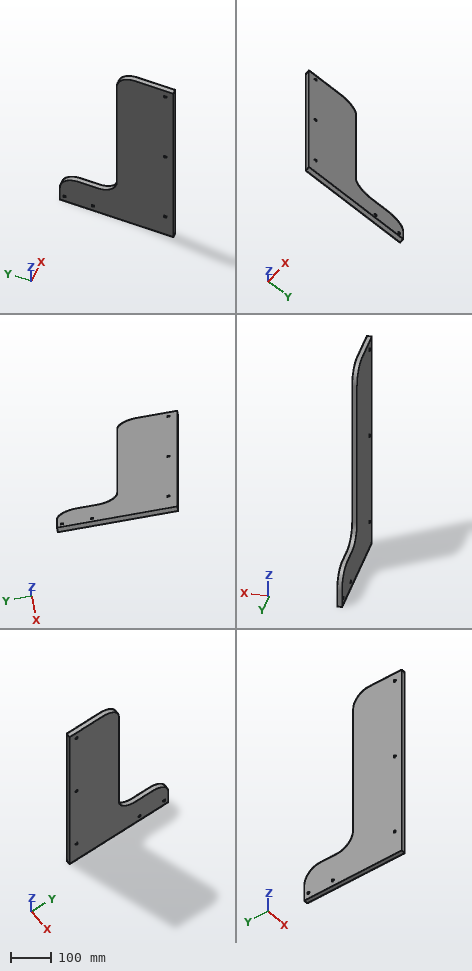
import cadquery as cq

thickness = 13.0
depth = 305.0
height = 609.5
upright_depth = depth / 2
foot_height = height / 6
corner_radius = foot_height / 2

hole_diameter = 7.0
back_hole_y = 22.0
back_hole_top_z = 584.0
back_hole_spacing = 254.0
back_hole_count = 3
foot_hole_z = 19.5
foot_hole_front_y = 292.0
foot_hole_spacing = 76.0
foot_hole_count = 2


def make_plate():
    """L-shaped plate with two rounded outer corners and a rounded inner corner."""
    plate = (
        cq.Workplane("YZ")
        .polyline([
            (0, 0),
            (depth, 0),
            (depth, foot_height),
            (upright_depth, foot_height),
            (upright_depth, height),
            (0, height),
        ])
        .close()
        .extrude(thickness)
    )
    rounded_corners = [(depth, foot_height), (upright_depth, foot_height), (upright_depth, height)]
    for y, z in rounded_corners:
        corner_edge = cq.selectors.NearestToPointSelector((thickness / 2, y, z))
        plate = plate.edges("|X").edges(corner_edge).fillet(corner_radius)
    return plate


def make_holes():
    """Pins for a column of holes along the back and a row along the foot."""
    back_holes = [
        (back_hole_y, back_hole_top_z - i * back_hole_spacing) for i in range(back_hole_count)
    ]
    foot_holes = [
        (foot_hole_front_y - i * foot_hole_spacing, foot_hole_z) for i in range(foot_hole_count)
    ]
    return (
        cq.Workplane("YZ")
        .pushPoints(back_holes + foot_holes)
        .circle(hole_diameter / 2)
        .extrude(thickness)
    )


result = make_plate().cut(make_holes())